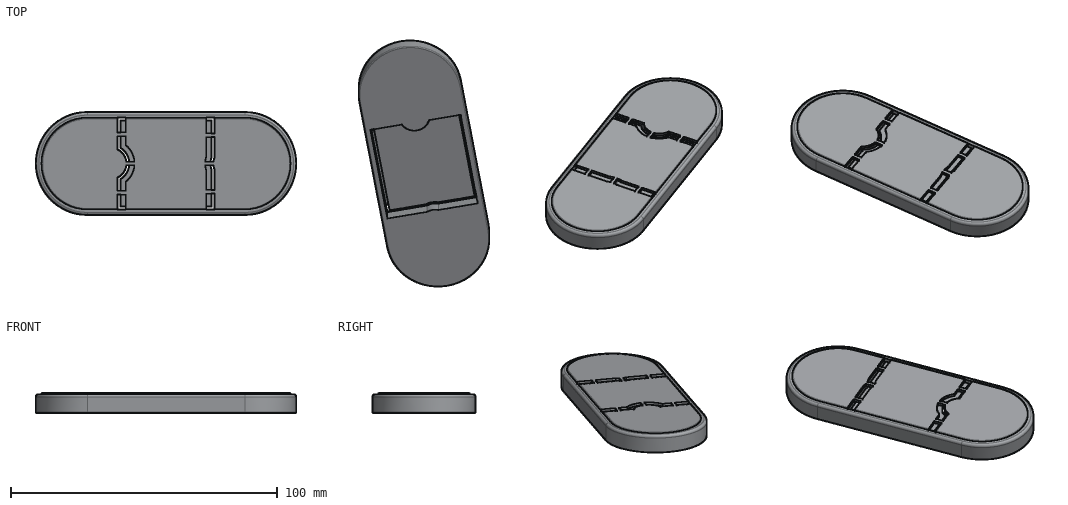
import cadquery as cq

center_span = 59.0
case_radius = 19.36
case_height = 7.1
case_top_fillet = 1.1
case_bottom_fillet = 0.4

lid_radius = 17.2
lid_thickness = 1.0
lid_rise = 0.4
lid_edge_fillet = lid_rise
lid_top = case_height + lid_rise
lid_bottom = lid_top - lid_thickness

window_half_length = 18.1
plug_clearance = 1.0
plug_thickness = 1.2
slot_width = 3.0

lobe_radius = 5.8
left_lobe_center_x = -20.6
right_lobe_center_x = 23.5

bridge_width = 1.45
bridge_length = 20.0
left_bridge_pitch = 10.9
right_bridge_pitch = 10.6


def capsule(radius, bottom, top):
    """Upright capsule-shaped prism between two heights."""
    return (
        cq.Workplane("XY", origin=(0, 0, bottom))
        .slot2D(center_span + 2 * radius, 2 * radius)
        .extrude(top - bottom)
    )


def window_prism(inset, half_width, bottom, top):
    """Prism of the window outline, with its left and right walls moved inward by the inset."""
    half_length = window_half_length - inset
    height = top - bottom
    prism = cq.Workplane("XY", origin=(0, 0, bottom)).rect(2 * half_length, 2 * half_width).extrude(height)
    for center_x in (left_lobe_center_x, right_lobe_center_x):
        lobe = cq.Workplane("XY", origin=(center_x, 0, bottom)).circle(lobe_radius + inset).extrude(height)
        prism = prism.cut(lobe)
    return prism


def bridges():
    """Bars that stay across each slot and tie the lid panels together."""
    bars = cq.Workplane("XY")
    for side, pitch in ((-1, left_bridge_pitch), (1, right_bridge_pitch)):
        for row in (-1, 0, 1):
            bar = (
                cq.Workplane("XY", origin=(side * window_half_length, row * pitch, lid_bottom))
                .rect(bridge_length, bridge_width)
                .extrude(lid_thickness)
            )
            bars = bars.union(bar)
    return bars


def make_case():
    """Case with a shallow recess for the lid and a through window for the plug."""
    body = capsule(case_radius, 0, case_height)
    body = body.faces(">Z").edges().fillet(case_top_fillet)
    body = body.faces("<Z").edges().fillet(case_bottom_fillet)
    recess = capsule(lid_radius, lid_bottom, lid_top)
    window = window_prism(0, lid_radius, 0, lid_top)
    return body.cut(recess).cut(window)


def make_lid():
    """Slotted lid plate with the plug under its middle panel."""
    plate = capsule(lid_radius, lid_bottom, lid_top)
    plate = plate.faces(">Z").edges().fillet(lid_edge_fillet)
    slots = window_prism(0, lid_radius, lid_bottom, lid_top).cut(
        window_prism(slot_width, lid_radius, lid_bottom, lid_top)
    )
    plate = plate.cut(slots.cut(bridges()))
    plug_half_width = lid_radius - plug_clearance
    plug = window_prism(plug_clearance, plug_half_width, lid_bottom - plug_thickness, lid_bottom)
    return plate.union(plug)


case = make_case()
lid = make_lid()
result = cq.Compound.makeCompound([case.solids().val(), lid.solids().val()])